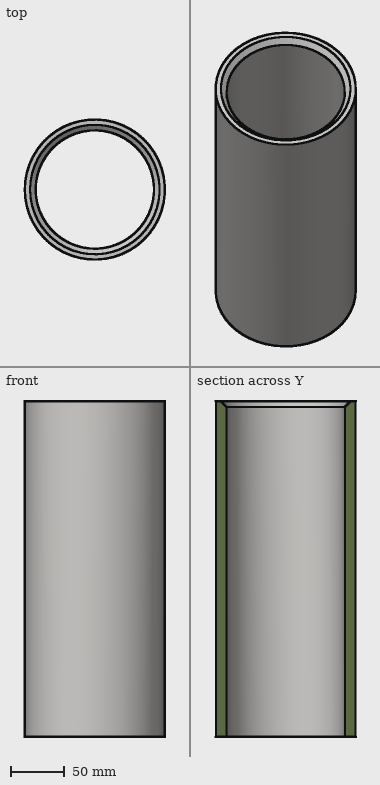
import cadquery as cq

length = 311.0
outer_diameter = 130.0
bore_diameter = 109.5
rim_diameter = 120.0
bevel_depth = 5.3

outer_radius = outer_diameter / 2
bore_radius = bore_diameter / 2
rim_radius = rim_diameter / 2

wall_section = (
    cq.Workplane("XZ")
    .moveTo(-bore_radius, 0)
    .lineTo(-outer_radius, 0)
    .lineTo(-outer_radius, length)
    .lineTo(-rim_radius, length)
    .lineTo(-bore_radius, length - bevel_depth)
    .close()
)

result = wall_section.revolve(360, (0, 0, 0), (0, 1, 0))